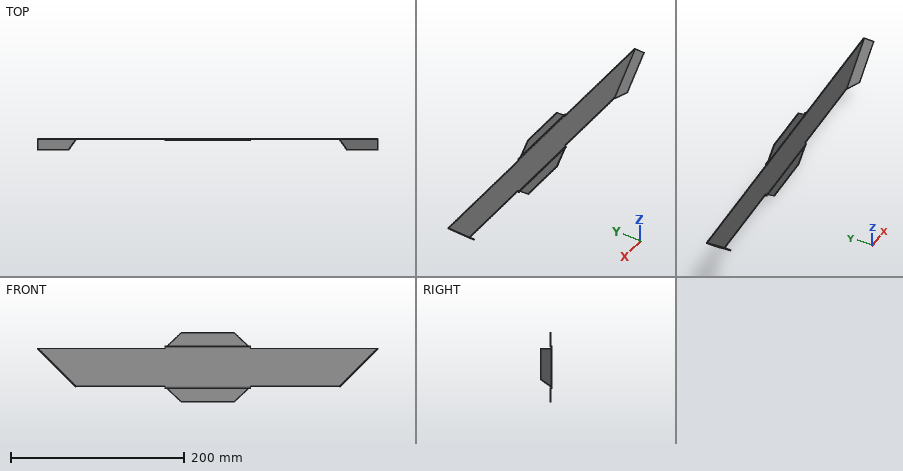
import cadquery as cq
import math

sheet = 1.0
plate_height = 44.0
plate_top_width = 392.0
half_top = plate_top_width / 2
half_height = plate_height / 2
half_bottom = half_top - plate_height

overall_depth = 13.0
flange_depth = overall_depth - sheet
flange_length = plate_height * math.sqrt(2)

overall_height = 80.07
tab_length = 16.0
tab_base_width = 95.0
tab_tip_width = 61.0
tab_step = 1.0
step_width = 99.0
step_radius = 1.5
step_back_rise = 0.5
half_overall = overall_height / 2
step_z = half_overall - tab_length


def make_plate():
    outline = [
        (-half_top, half_height),
        (half_top, half_height),
        (half_bottom, -half_height),
        (-half_bottom, -half_height),
    ]
    return cq.Workplane("XZ").polyline(outline).close().extrude(-sheet)


def make_right_flange():
    """Flange on the right plate end, with the outside of the bend rounded about the inner corner."""
    bend_corner = (half_top, 0, half_height)

    across = cq.Plane(origin=bend_corner, xDir=(1, 0, -1), normal=(1, 0, 1))
    arc_offset = sheet * math.sqrt(0.5)
    flange = (
        cq.Workplane(across)
        .moveTo(0, 0)
        .lineTo(0, sheet)
        .threePointArc((arc_offset, arc_offset), (sheet, 0))
        .lineTo(sheet, -flange_depth)
        .lineTo(0, -flange_depth)
        .close()
        .extrude(-flange_length)
    )

    along = cq.Plane(origin=bend_corner, xDir=(-1, 0, -1), normal=(-1, 0, 1))
    corner = [
        (flange_length, 0),
        (flange_length, flange_depth),
        (flange_length - flange_depth, flange_depth),
    ]
    return flange.cut(cq.Workplane(along).polyline(corner).close().extrude(-sheet))


def make_upper_step():
    """Strip that carries the plate front face forward to the tab along a concave arc."""
    arc_angle = math.acos(1 - tab_step / step_radius)
    arc_start_z = step_z - step_radius * math.sin(arc_angle)
    arc_middle = (
        -step_radius * (1 - math.cos(arc_angle / 2)),
        arc_start_z + step_radius * math.sin(arc_angle / 2),
    )
    back_z = step_z + step_back_rise
    return (
        cq.Workplane("YZ")
        .moveTo(sheet, half_height)
        .lineTo(0, half_height)
        .lineTo(0, arc_start_z)
        .threePointArc(arc_middle, (-tab_step, step_z))
        .lineTo(sheet - tab_step, back_z)
        .lineTo(sheet, back_z)
        .close()
        .extrude(step_width / 2, both=True)
    )


def make_upper_tab():
    outline = [
        (-tab_base_width / 2, step_z),
        (-tab_tip_width / 2, half_overall),
        (tab_tip_width / 2, half_overall),
        (tab_base_width / 2, step_z),
    ]
    tab_back = sheet - tab_step
    return cq.Workplane("XZ", origin=(0, tab_back, 0)).polyline(outline).close().extrude(sheet)


right_flange = make_right_flange()
upper_tab = make_upper_step().union(make_upper_tab())

result = (
    make_plate()
    .union(right_flange)
    .union(right_flange.mirror("YZ"))
    .union(upper_tab)
    .union(upper_tab.mirror("XY"))
    .clean()
)